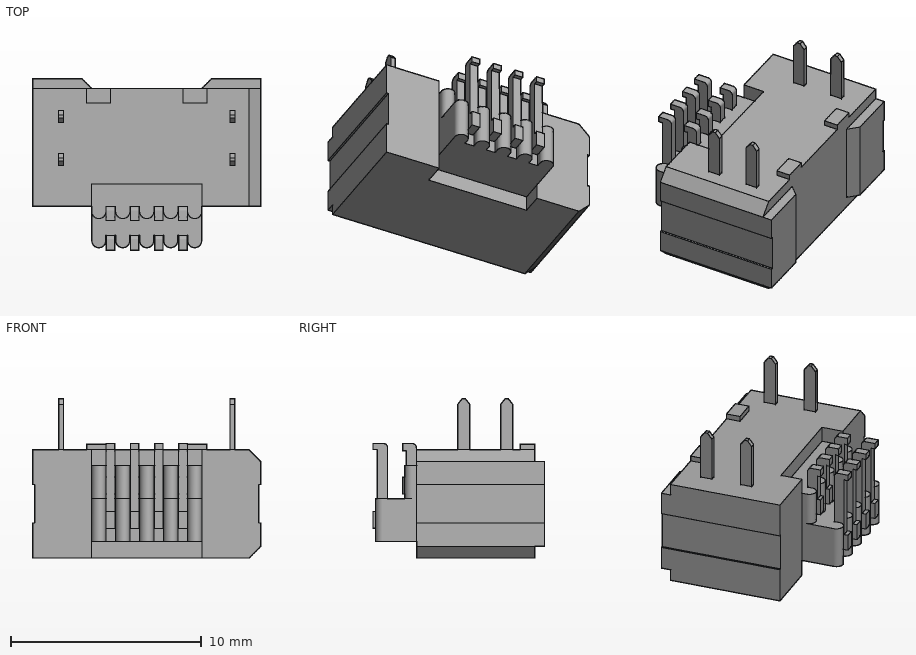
import cadquery as cq


housing_width = 11.96
housing_height = 5.69
housing_depth = 6.18
key_chamfer = 0.62
side_channel_depth = 0.11
side_channel_bottom = 1.85
side_channel_top = 3.86

rim_depth = 0.51
rim_inset = key_chamfer

tab_width = 1.24
tab_length = 0.77
tab_height = 0.29
tab_spacing = 5.05

notch_width = 5.76
notch_depth = 1.18
carrier_bottom = 0.87
carrier_step = 3.12
carrier_top = 4.87
lower_front = -2.16
upper_front = -0.63

contact_count = 4
rib_count = contact_count + 1
groove_width = 0.51
rib_width = (notch_width - contact_count * groove_width) / rib_count
rib_radius = rib_width / 2
rib_pitch = rib_width + groove_width
lower_groove_base = -1.52
upper_groove_base = -0.01

contact_pitch = 1.27
contact_width = 0.45
contact_top = 6.02
bend_radius = 0.23
bump_height = 0.89
stem_thickness = 0.55
lower_toe = -2.3
lower_toe_thickness = 0.32
lower_contact_bottom = 1.57
upper_toe = -0.74
upper_toe_thickness = 0.4
upper_contact_bottom = 3.36

clip_spacing = 8.97
clip_thickness = 0.26
leg_width = 0.65
leg_pitch = 2.25
front_leg_y = 2.46
leg_top = 8.36
tip_height = 0.3
tip_width = 0.17
bridge_bottom = 3.42
bridge_top = 4.56


def box(x_range, y_range, z_range):
    """Box between two limits along each axis."""
    size = [limits[1] - limits[0] for limits in (x_range, y_range, z_range)]
    corner = (x_range[0], y_range[0], z_range[0])
    return cq.Workplane("XY").box(*size, centered=False).translate(corner)


def centred(middle, width):
    """Limits of a stretch of the given width about its middle."""
    return (middle - width / 2, middle + width / 2)


def row_positions(count, pitch):
    """Evenly spaced positions about zero."""
    return [(i - (count - 1) / 2) * pitch for i in range(count)]


def make_rim():
    """Rim on the +Y face, whose middle opening flares outward at 45 degrees."""
    rim_end = housing_depth + rim_depth
    rim = box(
        centred(0, housing_width),
        (housing_depth, rim_end),
        (rim_inset, housing_height - rim_inset),
    )
    inner_half = notch_width / 2
    outer_half = inner_half + rim_depth
    opening = (
        cq.Workplane("XY")
        .moveTo(-inner_half, housing_depth)
        .lineTo(inner_half, housing_depth)
        .lineTo(outer_half, rim_end)
        .lineTo(-outer_half, rim_end)
        .close()
        .extrude(housing_height)
    )
    return rim.cut(opening)


def make_shell():
    """Housing block with its rim, side channels, tabs and notch."""
    block = box(centred(0, housing_width), (0, housing_depth), (0, housing_height))
    shell = block.edges("|Y and >X").chamfer(key_chamfer).union(make_rim())

    for side in (-1, 1):
        channel = box(
            centred(side * housing_width / 2, 2 * side_channel_depth),
            (0, housing_depth + rim_depth),
            (side_channel_bottom, side_channel_top),
        )
        shell = shell.cut(channel)

    for x in row_positions(2, tab_spacing):
        tab = box(
            centred(x, tab_width),
            (housing_depth - tab_length, housing_depth),
            (housing_height, housing_height + tab_height),
        )
        shell = shell.union(tab)

    notch = box(centred(0, notch_width), (0, notch_depth), (0, housing_height))
    return shell.cut(notch)


def make_carrier_tier(front, groove_base, bottom, top):
    """One tier of the carrier: a block with round-nosed ribs along its -Y side."""
    tier = box(centred(0, notch_width), (groove_base, notch_depth), (bottom, top))
    nose_start = front + rib_radius
    for x in row_positions(rib_count, rib_pitch):
        rib = (
            cq.Workplane("XY", origin=(x, 0, bottom))
            .moveTo(-rib_radius, groove_base)
            .lineTo(-rib_radius, nose_start)
            .threePointArc((0, front), (rib_radius, nose_start))
            .lineTo(rib_radius, groove_base)
            .close()
            .extrude(top - bottom)
        )
        tier = tier.union(rib)
    return tier


def make_contact(x, back, toe, toe_thickness, bottom):
    """Contact with a bent toe at its top and a bump at its foot."""
    front = back - stem_thickness
    profile = (
        cq.Workplane("YZ", origin=(x - contact_width / 2, 0, 0))
        .moveTo(back, bottom)
        .lineTo(back, contact_top - bend_radius)
        .radiusArc((back - bend_radius, contact_top), -bend_radius)
        .lineTo(toe, contact_top)
        .lineTo(toe, contact_top - toe_thickness)
        .lineTo(front, contact_top - toe_thickness)
        .lineTo(front, bottom + bump_height)
        .lineTo(toe, bottom + bump_height)
        .lineTo(toe, bottom)
        .close()
    )
    return profile.extrude(contact_width)


def make_clip(x):
    """Flat clip with two pointed legs."""
    y_start = front_leg_y - leg_width / 2
    y_end = front_leg_y + leg_pitch + leg_width / 2
    x_range = centred(x, clip_thickness)
    clip = box(x_range, (y_start, y_end), (bridge_bottom, bridge_top))
    for y in (front_leg_y, front_leg_y + leg_pitch):
        leg = (
            cq.Workplane("YZ", origin=(x_range[0], y, 0))
            .moveTo(-leg_width / 2, bridge_bottom)
            .lineTo(leg_width / 2, bridge_bottom)
            .lineTo(leg_width / 2, leg_top - tip_height)
            .lineTo(tip_width / 2, leg_top)
            .lineTo(-tip_width / 2, leg_top)
            .lineTo(-leg_width / 2, leg_top - tip_height)
            .close()
            .extrude(clip_thickness)
        )
        clip = clip.union(leg)
    return clip


def make_housing(fitted_clips):
    """Housing with its carrier and contacts, and a fitting cavity for each clip."""
    housing = make_shell()
    housing = housing.union(
        make_carrier_tier(lower_front, lower_groove_base, carrier_bottom, carrier_step)
    )
    housing = housing.union(
        make_carrier_tier(upper_front, upper_groove_base, carrier_step, carrier_top)
    )
    for x in row_positions(contact_count, contact_pitch):
        lower = make_contact(
            x, lower_groove_base, lower_toe, lower_toe_thickness, lower_contact_bottom
        )
        upper = make_contact(
            x, upper_groove_base, upper_toe, upper_toe_thickness, upper_contact_bottom
        )
        housing = housing.union(lower).union(upper)
    for clip in fitted_clips:
        housing = housing.cut(clip)
    return housing


clips = [make_clip(x) for x in row_positions(2, clip_spacing)]
housing = make_housing(clips)
result = cq.Compound.makeCompound([housing.val(), *[clip.val() for clip in clips]])